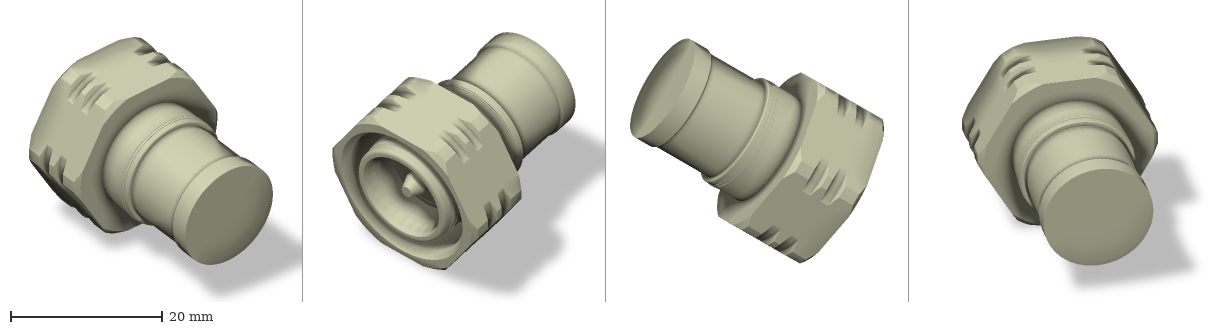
import cadquery as cq
import math

total_length = 27.93

nut_front = 0.22
nut_rear = 10.95
nut_across_flats = 22.0
nut_corner_radius = 12.247
nut_chamfer = 0.7
nut_bore_radius = 9.47
nut_mouth_radius = 10.22
nut_mouth_depth = 1.2
nut_bore_floor = 7.85

groove_floor_radius = 11.5
groove_starts = (3.1, 6.03)
groove_top_width = 2.0
groove_side_run = 0.4

sleeve_radius = 7.37
sleeve_nose_fillet = 0.53
sleeve_land_radius = 7.49
sleeve_land_bevel_start = 1.73
sleeve_land_start = 1.87
sleeve_root_radius = 7.6
sleeve_root_start = 2.65

socket_mouth_radius = 6.3
socket_radius = 5.75
socket_lip_chamfer = 0.1
socket_cone_end = 2.77
socket_floor = 5.55

seam_outer_radius = 5.17
seam_inner_radius = 5.03
seam_depth = 0.15

pin_radius = 1.6
pin_tip_radius = 0.85
pin_tip = 1.23
pin_cone_end = 3.1

collar_radius = 7.85
ring_radius = 7.93
ring_front = 14.75
ring_rear = 15.45
ring_slit_front = 14.97
ring_slit_width = 0.08
ring_slit_radius = 7.82
collar_rear = 16.3
collar_chamfer = 0.1
tube_radius = 7.12
tube_root_rise = 0.05
tube_root_end = 16.5
band_radius = 7.45
band_cone_start = 25.0
band_start = 25.3


def revolve_about_x(points):
    """Revolve a closed (x, radius) outline about the X axis."""
    return cq.Workplane("XY").polyline(points).close().revolve(360, (0, 0, 0), (1, 0, 0))


def tube(x_start, x_end, outer_radius, inner_radius):
    return revolve_about_x([
        (x_start, inner_radius),
        (x_start, outer_radius),
        (x_end, outer_radius),
        (x_end, inner_radius),
    ])


def make_nut():
    """Hexagon with corners on +Y and -Y, turned to a grooved and chamfered outline."""
    hexagon = (
        cq.Workplane("YZ", origin=(nut_front, 0, 0))
        .polygon(6, nut_across_flats / math.cos(math.pi / 6))
        .extrude(nut_rear - nut_front)
    )
    end_radius = nut_corner_radius - nut_chamfer
    outline = [
        (nut_front, 0),
        (nut_front, end_radius),
        (nut_front + nut_chamfer, nut_corner_radius),
    ]
    for start in groove_starts:
        end = start + groove_top_width
        outline += [
            (start, nut_corner_radius),
            (start + groove_side_run, groove_floor_radius),
            (end - groove_side_run, groove_floor_radius),
            (end, nut_corner_radius),
        ]
    outline += [
        (nut_rear - nut_chamfer, nut_corner_radius),
        (nut_rear, end_radius),
        (nut_rear, 0),
    ]
    bore = revolve_about_x([
        (nut_front, 0),
        (nut_front, nut_mouth_radius),
        (nut_front + nut_mouth_depth, nut_bore_radius),
        (nut_bore_floor, nut_bore_radius),
        (nut_bore_floor, 0),
    ])
    return hexagon.intersect(revolve_about_x(outline)).cut(bore)


def make_sleeve():
    """Round-nosed sleeve that widens through a bevelled step and a square step towards the nut floor."""
    nose = tube(0, nut_rear, sleeve_radius, 0).faces("<X").edges().fillet(sleeve_nose_fillet)
    steps = revolve_about_x([
        (sleeve_land_bevel_start, 0),
        (sleeve_land_bevel_start, sleeve_radius),
        (sleeve_land_start, sleeve_land_radius),
        (sleeve_root_start, sleeve_land_radius),
        (sleeve_root_start, sleeve_root_radius),
        (nut_rear, sleeve_root_radius),
        (nut_rear, 0),
    ])
    return nose.union(steps)


def make_socket():
    """Space inside the sleeve: lip chamfer, lead-in cone, straight bore and floor seam."""
    socket = revolve_about_x([
        (0, 0),
        (0, socket_mouth_radius + socket_lip_chamfer),
        (socket_lip_chamfer, socket_mouth_radius),
        (socket_cone_end, socket_radius),
        (socket_floor, socket_radius),
        (socket_floor, 0),
    ])
    seam = tube(socket_floor, socket_floor + seam_depth, seam_outer_radius, seam_inner_radius)
    return socket.union(seam)


def make_pin():
    return revolve_about_x([
        (pin_tip, 0),
        (pin_tip, pin_tip_radius),
        (pin_cone_end, pin_radius),
        (socket_floor, pin_radius),
        (socket_floor, 0),
    ])


def make_rear_body():
    """Collar with a slit retaining ring, plain tube and raised end band."""
    body = revolve_about_x([
        (nut_bore_floor, 0),
        (nut_bore_floor, collar_radius),
        (collar_rear - collar_chamfer, collar_radius),
        (collar_rear, collar_radius - collar_chamfer),
        (collar_rear, tube_radius + tube_root_rise),
        (tube_root_end, tube_radius),
        (band_cone_start, tube_radius),
        (band_start, band_radius),
        (total_length, band_radius),
        (total_length, 0),
    ])
    ring = tube(ring_front, ring_rear, ring_radius, 0)
    slit = tube(ring_slit_front, ring_slit_front + ring_slit_width, ring_radius, ring_slit_radius)
    return body.union(ring).cut(slit)


result = (
    make_nut()
    .union(make_rear_body())
    .union(make_sleeve())
    .cut(make_socket())
    .union(make_pin())
)